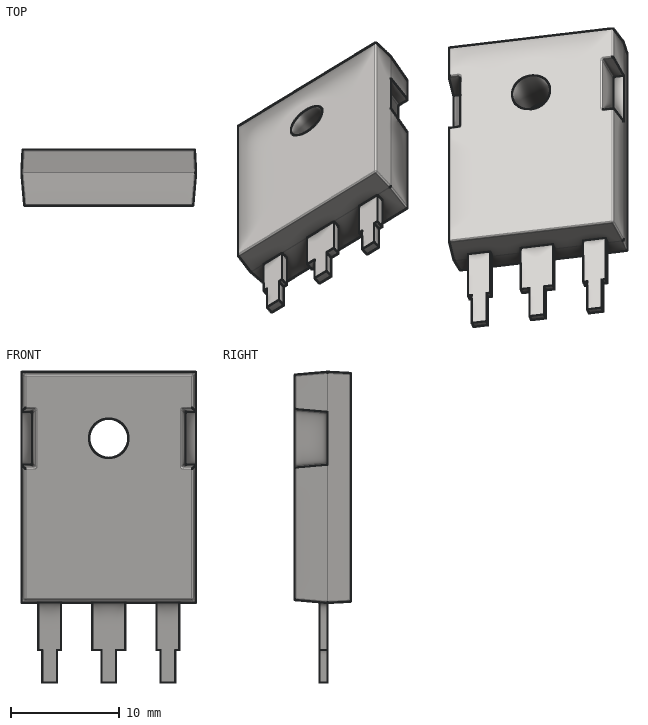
import cadquery as cq
import math

body_width = 16.13
body_height = 21.33
front_depth = 3.06
back_depth = 2.16
front_draft = 5.0
back_draft = 3.0
edge_radius = 0.16

hole_diameter = 3.6
hole_from_top = 6.14

notch_floor_width = 0.98
notch_floor_height = 4.87
notch_inner_draft = 6.5
notch_end_draft = 5.0
notch_corner_radius = 0.15
notch_overhang = 1.0

overall_height = 28.66
lead_thickness = 0.76
lead_pitch = 5.46
lead_tip_width = 1.38
lead_tip_length = 3.0
outer_lead_width = 2.12
middle_lead_width = 3.05
lead_root_length = 1.0

hole_z = body_height - hole_from_top
notch_z = hole_z
lead_bottom_z = body_height - overall_height
lead_step_z = lead_bottom_z + lead_tip_length


def draft_offset(depth, angle):
    """Sideways shift of a wall drafted by angle over the given depth."""
    return depth * math.tan(math.radians(angle))


def body_half(depth, draft, y_direction):
    """Half of the body, narrowing away from the parting plane."""
    plane = cq.Plane(
        origin=(0, 0, body_height / 2),
        xDir=(1, 0, 0),
        normal=(0, y_direction, 0),
    )
    return cq.Workplane(plane).rect(body_width, body_height).extrude(depth, taper=draft)


def notch_section(y, side):
    """Closed rectangular wire of one notch at the given Y, widening toward the front."""
    inner_growth = draft_offset(-y, notch_inner_draft)
    end_growth = draft_offset(-y, notch_end_draft)
    x_inner = side * (body_width / 2 - notch_floor_width - inner_growth)
    x_outer = side * (body_width / 2 + notch_overhang)
    z_low = notch_z - notch_floor_height / 2 - end_growth
    z_high = notch_z + notch_floor_height / 2 + end_growth
    corners = [
        cq.Vector(x_inner, y, z_low),
        cq.Vector(x_outer, y, z_low),
        cq.Vector(x_outer, y, z_high),
        cq.Vector(x_inner, y, z_high),
    ]
    return cq.Wire.makePolygon(corners, close=True)


def notch(side):
    """Drafted cutter for the notch on the side given by the sign of X."""
    sections = [notch_section(0, side), notch_section(-front_depth, side)]
    cutter = cq.Workplane(cq.Solid.makeLoft(sections, True))
    inner_face = "<X" if side > 0 else ">X"
    return cutter.faces(inner_face).edges("not(#Y)").fillet(notch_corner_radius)


def lead(x, width):
    """Flat lead with a narrow tip, its root buried in the body."""
    half_width = width / 2
    half_tip = lead_tip_width / 2
    outline = [
        (x - half_tip, lead_bottom_z),
        (x + half_tip, lead_bottom_z),
        (x + half_tip, lead_step_z),
        (x + half_width, lead_step_z),
        (x + half_width, lead_root_length),
        (x - half_width, lead_root_length),
        (x - half_width, lead_step_z),
        (x - half_tip, lead_step_z),
    ]
    return cq.Workplane("XZ").polyline(outline).close().extrude(lead_thickness)


body = body_half(front_depth, front_draft, -1).union(body_half(back_depth, back_draft, 1))
body = body.edges("not(#Y)").fillet(edge_radius)
for side in (-1, 1):
    body = body.cut(notch(side))
body = body.faces("<Y or >Y").edges().fillet(edge_radius)

hole = (
    cq.Workplane("XZ", origin=(0, back_depth, 0))
    .center(0, hole_z)
    .circle(hole_diameter / 2)
    .extrude(back_depth + front_depth)
)
result = body.cut(hole)

for position in (-1, 0, 1):
    width = middle_lead_width if position == 0 else outer_lead_width
    result = result.union(lead(position * lead_pitch, width))